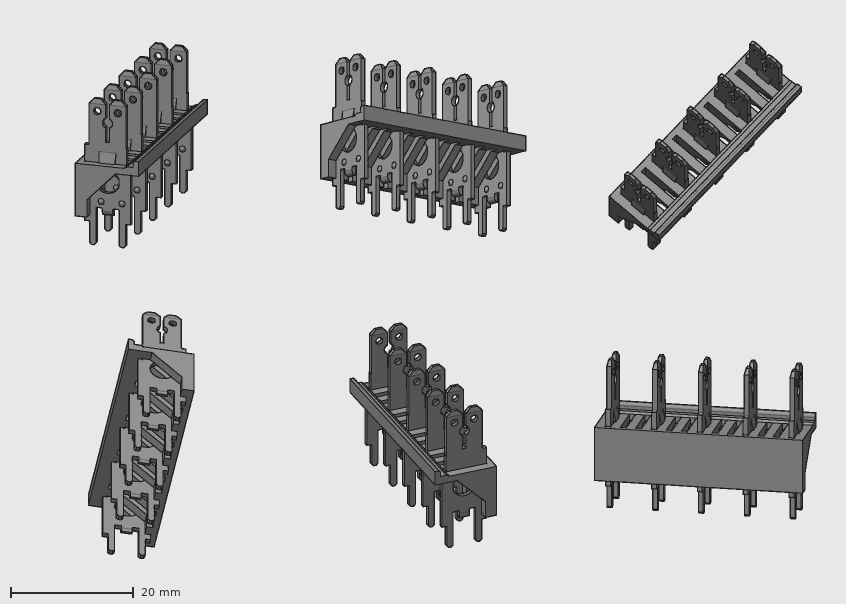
import cadquery as cq
import math


length = 34.6
wall_thickness = 2.0
deck_top = 9.03
deck_underside = 7.92
gusset_rise = 4.98
ledge_front = 10.9
ramp_end_x = 8.93
ledge_floor = 9.35
lip_back = 9.93
lip_top = 10.4
lip_radius = 0.52

terminal_count = 5
terminal_pitch = 7.6
slots_per_pitch = 3
slot_start = 1.05
slot_end = 8.37
slot_width = 0.97

sheet = 0.8
mid_x = 4.98
corner_radius = 0.2

blade_top = 19.85
blade_half_width = 3.2
tip_height = 0.85
tip_inset = 0.83
tip_thickness = 0.52
shoulder_top = 11.9
neck_front = 8.25
split_width = 0.62
split_bottom = 12.6
keyhole_diameter = 1.73
keyhole_z = 15.85
eye_diameter = 1.2
eye_offset = 1.75
eye_z = 17.75

body_front = 8.95
ledge_clearance = 0.07
body_top = deck_underside - ledge_clearance
body_bottom = -1.15
leg_bottom = -5.15
leg_outer = 3.08
leg_inner = 2.0
leg_chamfer = 0.3
notch_top = 1.28
window_diameter = 4.0
window_z = 5.88

tongue_width = 1.8
tongue_bend_top = 0.75
lance_top = 10.9
lance_depth = 0.35
lance_top_half_width = 1.5
lance_bottom_half_width = 1.35
dimple_diameter = 1.05
dimple_height = 0.25
dimple_z = 2.35
dimple_x = (3.9, 7.47)


def side_sketch():
    """XZ plane, where positive extrusions run toward -Y."""
    return cq.Workplane("XZ")


def sheet_cut(width, center_x, bottom, top):
    """Box cutter that passes through the sheet."""
    return cq.Workplane("XY").box(width, 2 * sheet, top - bottom).translate(
        (center_x, 0, (bottom + top) / 2))


def make_housing():
    arc_reach = lip_radius * math.sqrt(0.5)
    profile = (
        side_sketch()
        .moveTo(0, 0)
        .lineTo(wall_thickness, 0)
        .lineTo(wall_thickness, deck_underside - gusset_rise)
        .lineTo(wall_thickness + gusset_rise, deck_underside)
        .lineTo(ledge_front, deck_underside)
        .lineTo(ledge_front, lip_top)
        .lineTo(lip_back + lip_radius, lip_top)
        .threePointArc(
            (lip_back + lip_radius - arc_reach, lip_top - lip_radius + arc_reach),
            (lip_back, lip_top - lip_radius))
        .lineTo(lip_back, ledge_floor)
        .lineTo(ramp_end_x, ledge_floor)
        .lineTo(slot_end, deck_top)
        .lineTo(0, deck_top)
        .close()
    )
    body = profile.extrude(length / 2, both=True)

    slot_count = slots_per_pitch * (terminal_count - 1) + 1
    slots = (
        cq.Workplane("XY")
        .center((slot_start + slot_end) / 2, 0)
        .rarray(0.35, terminal_pitch / slots_per_pitch, 1, slot_count)
        .rect(slot_end - slot_start, slot_width)
        .extrude(deck_top)
    )
    return body.cut(slots)


def make_blank():
    """Flat outline of the terminal, with its inner corners rounded."""
    blade_back = mid_x - blade_half_width
    blade_front = mid_x + blade_half_width
    leg_lines = (-leg_outer, -leg_inner, leg_inner, leg_outer)
    back_outer, back_inner, front_inner, front_outer = [mid_x + x for x in leg_lines]
    outline = [
        (blade_back, blade_top),
        (blade_back, shoulder_top),
        (slot_start, shoulder_top),
        (slot_start, body_bottom),
        (back_outer, body_bottom),
        (back_outer, leg_bottom),
        (back_inner, leg_bottom),
        (back_inner, notch_top),
        (mid_x - tongue_width / 2, notch_top),
        (mid_x - tongue_width / 2, tongue_bend_top),
        (mid_x + tongue_width / 2, tongue_bend_top),
        (mid_x + tongue_width / 2, notch_top),
        (front_inner, notch_top),
        (front_inner, leg_bottom),
        (front_outer, leg_bottom),
        (front_outer, body_bottom),
        (body_front, body_bottom),
        (body_front, body_top),
        (neck_front, body_top),
        (neck_front, shoulder_top),
        (blade_front, shoulder_top),
        (blade_front, blade_top),
    ]
    blank = side_sketch().polyline(outline).close().extrude(sheet / 2, both=True)

    rounded = [
        (blade_back, shoulder_top),
        (back_outer, body_bottom),
        (front_outer, body_bottom),
        (back_inner, notch_top),
        (front_inner, notch_top),
        (mid_x - tongue_width / 2, notch_top),
        (mid_x + tongue_width / 2, notch_top),
    ]
    for x, z in rounded:
        blank = blank.edges(cq.selectors.NearestToPointSelector((x, 0, z))).fillet(corner_radius)
    for x in (back_outer, back_inner, front_inner, front_outer):
        blank = blank.edges(cq.selectors.NearestToPointSelector((x, 0, leg_bottom))).chamfer(leg_chamfer)
    return blank


def cut_openings(terminal):
    holes = side_sketch().center(mid_x, window_z).circle(window_diameter / 2).extrude(sheet, both=True)
    holes = holes.union(
        side_sketch().center(mid_x, keyhole_z).circle(keyhole_diameter / 2).extrude(sheet, both=True))
    holes = holes.union(
        side_sketch()
        .pushPoints([(mid_x - eye_offset, eye_z), (mid_x + eye_offset, eye_z)])
        .circle(eye_diameter / 2)
        .extrude(sheet, both=True))
    split = sheet_cut(split_width, mid_x, split_bottom, blade_top)
    return terminal.cut(holes).cut(split)


def taper_tips(terminal):
    """Narrow each prong in width and thickness toward its flat tip."""
    tip_base = blade_top - tip_height
    prong_width = blade_half_width - split_width / 2
    for side in (-1, 1):
        prong_x = mid_x + side * (split_width + prong_width) / 2
        front_shape = (
            side_sketch()
            .moveTo(prong_x - prong_width / 2, tip_base)
            .lineTo(prong_x + prong_width / 2, tip_base)
            .lineTo(prong_x + prong_width / 2 - tip_inset, blade_top)
            .lineTo(prong_x - prong_width / 2 + tip_inset, blade_top)
            .close()
            .extrude(sheet, both=True)
        )
        edge_shape = (
            cq.Workplane("YZ", origin=(prong_x, 0, 0))
            .moveTo(-sheet / 2, tip_base)
            .lineTo(sheet / 2, tip_base)
            .lineTo(tip_thickness / 2, blade_top)
            .lineTo(-tip_thickness / 2, blade_top)
            .close()
            .extrude(prong_width, both=True)
        )
        square_tip = sheet_cut(prong_width, prong_x, tip_base, blade_top)
        terminal = terminal.cut(square_tip).union(front_shape.intersect(edge_shape))
    return terminal


def make_tongue_bend():
    """Quarter-round end of the tongue, curling from the -Y face toward +Y."""
    reach = sheet * math.sqrt(0.5)
    return (
        cq.Workplane("YZ", origin=(mid_x, 0, 0))
        .moveTo(sheet / 2, tongue_bend_top)
        .lineTo(-sheet / 2, tongue_bend_top)
        .threePointArc(
            (sheet / 2 - reach, tongue_bend_top - reach),
            (sheet / 2, tongue_bend_top - sheet))
        .close()
        .extrude(tongue_width / 2, both=True)
    )


def make_lance():
    """Locking wedge on the -Y face that rests on the housing deck."""
    face = -sheet / 2
    wedge = (
        cq.Workplane("YZ", origin=(mid_x, 0, 0))
        .moveTo(0, deck_top)
        .lineTo(face - lance_depth, deck_top)
        .lineTo(face, lance_top)
        .lineTo(0, lance_top)
        .close()
        .extrude(lance_top_half_width, both=True)
    )
    trapezoid = (
        side_sketch()
        .moveTo(mid_x - lance_bottom_half_width, deck_top)
        .lineTo(mid_x + lance_bottom_half_width, deck_top)
        .lineTo(mid_x + lance_top_half_width, lance_top)
        .lineTo(mid_x - lance_top_half_width, lance_top)
        .close()
        .extrude(2 * sheet)
    )
    return wedge.intersect(trapezoid)


def make_dimple(x):
    """Spherical bump on the -Y face."""
    base_radius = dimple_diameter / 2
    sphere_radius = (base_radius ** 2 + dimple_height ** 2) / (2 * dimple_height)
    center_y = -sheet / 2 - dimple_height + sphere_radius
    ball = cq.Workplane("XY").sphere(sphere_radius).translate((x, center_y, dimple_z))
    cap_zone = (
        side_sketch()
        .center(x, dimple_z)
        .circle(base_radius)
        .extrude(sheet / 2 + dimple_height)
    )
    return ball.intersect(cap_zone)


def make_terminal():
    terminal = taper_tips(cut_openings(make_blank()))
    terminal = terminal.union(make_tongue_bend()).union(make_lance())
    for x in dimple_x:
        terminal = terminal.union(make_dimple(x))
    return terminal


housing = make_housing()
terminal = make_terminal()

terminals = []
for index in range(terminal_count):
    y = (index - (terminal_count - 1) / 2) * terminal_pitch
    terminals.append(terminal.translate((0, y, 0)).val())

result = cq.Compound.makeCompound([housing.val(), *terminals])